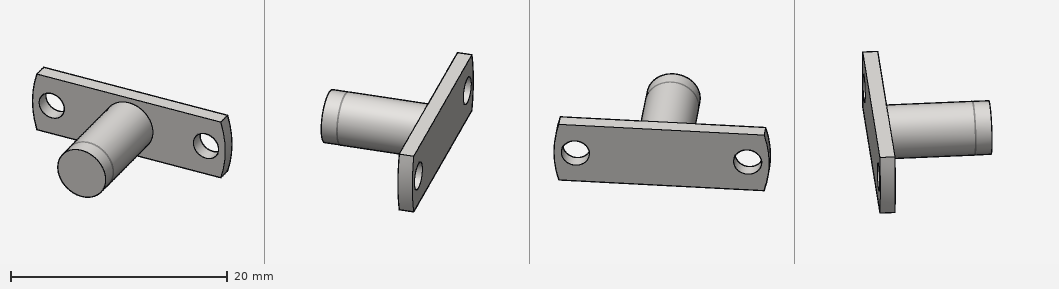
import cadquery as cq

plate_length = 20.0
plate_height = 6.0
plate_thickness = 1.4

hole_diameter = 2.6
hole_spacing = 16.0

total_depth = 11.0
shank_diameter = 5.0
tip_diameter = 4.98
tip_length = 1.5
bevel_length = 0.05
bevel_end = total_depth - tip_length
shank_end = bevel_end - bevel_length


def make_plate():
    """Plate in front of Y = 0, with ends curved about the pin axis."""
    disc = cq.Workplane("XZ").circle(plate_length / 2).extrude(plate_thickness)
    strip = cq.Workplane("XZ").rect(plate_length, plate_height).extrude(plate_thickness)
    holes = (
        cq.Workplane("XZ")
        .pushPoints([(-hole_spacing / 2, 0), (hole_spacing / 2, 0)])
        .circle(hole_diameter / 2)
        .extrude(plate_thickness)
    )
    return disc.intersect(strip).cut(holes)


def make_pin():
    """Pin turned about the Y axis, standing on the front face of the plate."""
    return (
        cq.Workplane("XY")
        .moveTo(0, -plate_thickness)
        .lineTo(shank_diameter / 2, -plate_thickness)
        .lineTo(shank_diameter / 2, -shank_end)
        .lineTo(tip_diameter / 2, -bevel_end)
        .lineTo(tip_diameter / 2, -total_depth)
        .lineTo(0, -total_depth)
        .close()
        .revolve(360, (0, 0, 0), (0, 1, 0))
    )


result = make_plate().union(make_pin())